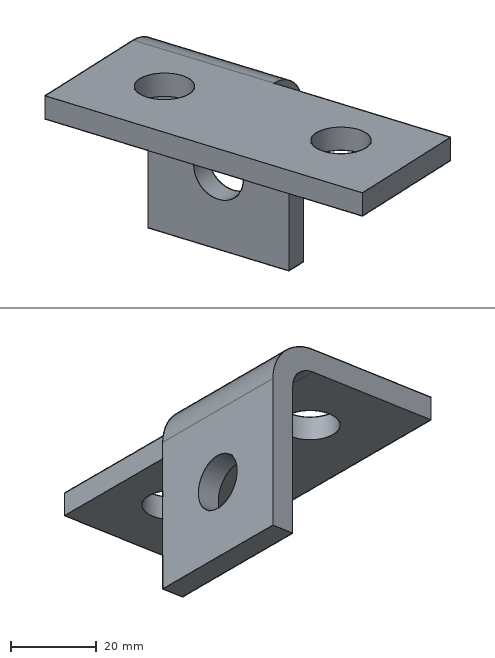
import cadquery as cq

length = 90.0
depth = 48.0
height = 51.0
thickness = 6.0
tab_width = 40.0

inner_radius = thickness
outer_radius = inner_radius + thickness

hole_diameter = 14.0
hole_inset = tab_width / 2

bend_start = depth - outer_radius


def make_plate():
    """Flat top plate, ending where the bend begins."""
    plate = cq.Workplane("XY").box(length, bend_start, thickness, centered=False)
    return plate.translate((0, 0, height - thickness))


def make_tab():
    """Narrow L-shaped strip: part of the plate, the bend and the hanging tab."""
    strip = (
        cq.Workplane("YZ")
        .moveTo(0, height)
        .lineTo(bend_start, height)
        .radiusArc((depth, height - outer_radius), outer_radius)
        .lineTo(depth, 0)
        .lineTo(depth - thickness, 0)
        .lineTo(depth - thickness, height - outer_radius)
        .radiusArc((bend_start, height - thickness), -inner_radius)
        .lineTo(0, height - thickness)
        .close()
    )
    return strip.extrude(tab_width)


def plate_holes():
    """Vertical cutters for the two holes in the top plate."""
    centers = [(hole_inset, hole_inset), (length - hole_inset, hole_inset)]
    return cq.Workplane("XY").pushPoints(centers).circle(hole_diameter / 2).extrude(height + thickness)


def tab_hole():
    """Cutter along Y for the hole in the hanging tab."""
    start = cq.Workplane("XZ", origin=(hole_inset, depth + thickness, hole_inset))
    return start.circle(hole_diameter / 2).extrude(3 * thickness)


bracket = make_plate().union(make_tab()).clean()
result = bracket.cut(plate_holes()).cut(tab_hole())